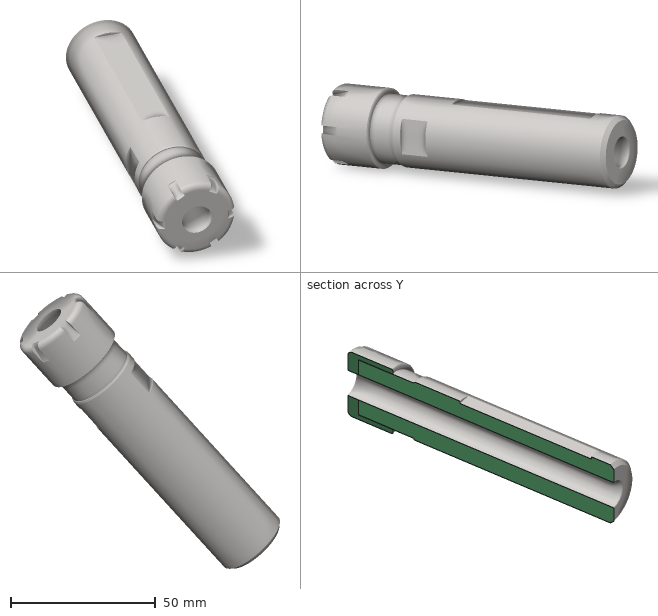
import cadquery as cq
import math

TOTAL_LENGTH = 112.0
BORE_DIAMETER = 10.8
BORE_CHAMFER = 0.2

SHANK_DIAMETER = 25.4
SHANK_END = 84.2
REAR_FACE_DIAMETER = 22.4
REAR_CHAMFER_LENGTH = 1.5
FRONT_EDGE_DIAMETER = 25.0
FRONT_CHAMFER_LENGTH = 0.7
NECK_DIAMETER = 24.2

CLAMP_FLAT_START = 9.5
CLAMP_FLAT_LENGTH = 55.1
CLAMP_FLAT_WIDTH = 9.9
CLAMP_FLAT_HEIGHT = math.sqrt((SHANK_DIAMETER / 2) ** 2 - (CLAMP_FLAT_WIDTH / 2) ** 2)

WRENCH_FLAT_START = 70.7
WRENCH_FLAT_LENGTH = 10.1
WRENCH_ACROSS_FLATS = 22.2

NUT_DIAMETER = 28.1
NUT_START = 93.0
NUT_FRONT_ROUND = 2.0
NUT_REAR_DIAMETER = 27.0
NUT_REAR_CHAMFER_LENGTH = 0.2
NUT_FRONT_WALL = 4.5
NECK_END = TOTAL_LENGTH - NUT_FRONT_WALL

SLOT_COUNT = 6
SLOT_WIDTH = 3.1
SLOT_LENGTH = 7.0
SLOT_START_DEPTH = 0.2
SLOT_END_DEPTH = 2.6
SLOT_START = TOTAL_LENGTH - SLOT_LENGTH


def rod(diameter, start, end):
    """Solid cylinder along X from start to end."""
    return cq.Workplane("YZ", origin=(start, 0, 0)).circle(diameter / 2).extrude(end - start)


def make_shank():
    bore_radius = BORE_DIAMETER / 2
    profile = [
        (BORE_CHAMFER, bore_radius),
        (0, bore_radius + BORE_CHAMFER),
        (0, REAR_FACE_DIAMETER / 2),
        (REAR_CHAMFER_LENGTH, SHANK_DIAMETER / 2),
        (SHANK_END - FRONT_CHAMFER_LENGTH, SHANK_DIAMETER / 2),
        (SHANK_END, FRONT_EDGE_DIAMETER / 2),
        (SHANK_END, NECK_DIAMETER / 2),
        (NECK_END, NECK_DIAMETER / 2),
        (NECK_END, bore_radius),
    ]
    shank = cq.Workplane("XY").polyline(profile).close().revolve(360, (0, 0, 0), (1, 0, 0))

    clamp_cut = (
        cq.Workplane("XY", origin=(CLAMP_FLAT_START, 0, CLAMP_FLAT_HEIGHT))
        .box(CLAMP_FLAT_LENGTH, SHANK_DIAMETER, SHANK_DIAMETER, centered=(False, True, False))
    )
    shank = shank.cut(clamp_cut)

    wrench_cut = (
        cq.Workplane("XY", origin=(WRENCH_FLAT_START, WRENCH_ACROSS_FLATS / 2, 0))
        .box(WRENCH_FLAT_LENGTH, SHANK_DIAMETER, SHANK_DIAMETER, centered=(False, False, True))
    )
    return shank.cut(wrench_cut).cut(wrench_cut.mirror("XZ"))


def make_slot_cutter():
    """Wedge on the +Y side whose sloping lower face forms the slot floor."""
    nut_radius = NUT_DIAMETER / 2
    return (
        cq.Workplane("XY")
        .moveTo(SLOT_START, nut_radius - SLOT_START_DEPTH)
        .lineTo(TOTAL_LENGTH, nut_radius - SLOT_END_DEPTH)
        .lineTo(TOTAL_LENGTH, NUT_DIAMETER)
        .lineTo(SLOT_START, NUT_DIAMETER)
        .close()
        .extrude(SLOT_WIDTH / 2, both=True)
    )


def make_nut():
    profile = [
        (NUT_START, 0),
        (NUT_START, NUT_REAR_DIAMETER / 2),
        (NUT_START + NUT_REAR_CHAMFER_LENGTH, NUT_DIAMETER / 2),
        (TOTAL_LENGTH, NUT_DIAMETER / 2),
        (TOTAL_LENGTH, 0),
    ]
    nut = cq.Workplane("XY").polyline(profile).close().revolve(360, (0, 0, 0), (1, 0, 0))
    nut = nut.faces(">X").edges().fillet(NUT_FRONT_ROUND)
    nut = nut.cut(rod(NECK_DIAMETER, NUT_START, NECK_END))
    nut = nut.cut(rod(BORE_DIAMETER, NECK_END, TOTAL_LENGTH))
    slot_cutter = make_slot_cutter()
    for index in range(SLOT_COUNT):
        angle = index * 360 / SLOT_COUNT
        nut = nut.cut(slot_cutter.rotate((0, 0, 0), (1, 0, 0), angle))
    return nut


shank = make_shank()
nut = make_nut()
result = cq.Compound.makeCompound([shank.val(), nut.val()])